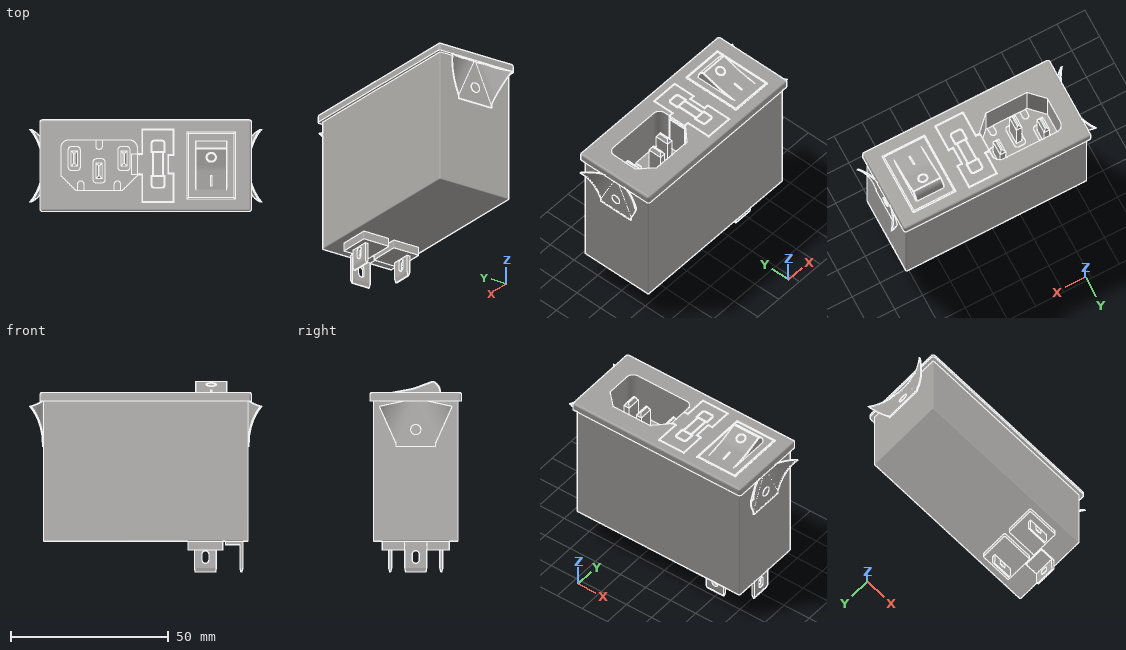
import cadquery as cq
import math


overall_length = 73.65
top_height = 3.5
bottom_depth = 57.0

flange_length = 67.2
flange_width = 29.2
flange_thickness = 2.7
flange_corner_radius = 0.9
flange_top_radius = 0.8
body_length = 64.9
body_width = 26.9
body_bottom = -47.3
body_radius = 0.4

socket_length = 24.3
socket_width = 16.05
socket_x = -14.8
socket_y = 0.15
socket_depth = 16.2
socket_right = socket_x + socket_length / 2
socket_radius = 2.5
socket_chamfer = 4.8
pad_length, pad_width, pad_radius, pad_depth = 3.8, 7.65, 1.0, 0.4
pin_length, pin_width = 2.0, 4.85
pin_tip_height, pin_tip_inset = 1.4, 0.7
pin_spacing = 7.9
line_pin_y, line_pin_top = 2.3, -4.85
earth_pin_y, earth_pin_top = -1.6, -1.8
key_width, key_length, key_depth = 2.05, 3.0, 0.4
lower_key_spacing = 5.8

drawer_left, drawer_right = -1.1, 8.8
drawer_half_width = 11.5
neck_bottom, neck_top = -2.7, 3.7
notch_x, notch_bottom, notch_top = 7.15, -2.5, 3.45
neck_overrun = 0.7
drawer_gap = 0.3
drawer_gap_depth = 11.05
latch_reach = 1.85
latch_height = 1.5
finger_slot_top = -0.95
finger_slot_height = 0.7
finger_slot_depth = 0.7

engraving_depth = 0.2
stroke = 0.3
fuse_x = 3.9
cap_width, cap_corner = 4.35, 0.95
upper_cap_bottom, upper_cap_top = 4.2, 8.1
lower_cap_bottom, lower_cap_top = -7.15, -3.1
tube_width = 3.4

rocker_x = 20.8
bezel_length, bezel_width, bezel_y = 15.25, 21.15, 0.1
bezel_bevel, bezel_depth = 0.45, 0.9
rocker_length = 10.1
rocker_back, rocker_front, rocker_root = 7.9, -7.65, 0.7
crest_y, crest_width = 5.4, 0.2
crease_y, crease_radius = -0.95, 10.3
raised_angle = math.radians(20)
crease_z = top_height - (crest_y - crease_y) * math.tan(raised_angle)
pressed_angle = math.atan(crease_z / (crease_y - rocker_front))
back_bulge_y, back_bulge_z = 7.2, 2.1
marking_depth = 0.1
rocker_edge = 0.2
ring_y, ring_radius = 2.65, 1.6
bar_y, bar_length, bar_width = -4.8, 3.25, 0.45

clip_thickness = 0.4
clip_half_width = 6.3
clip_bottom, clip_bend_bottom = -17.15, -16.05
clip_apex_z = -1.9
wing_overrun = 1.5
clip_tip_y, clip_tip_z = 11.6, -4.4
rivet_z, rivet_diameter, rivet_recess = -11.8, 3.25, 0.1

block_left, block_right = 13.3, 24.45
block_bottom = -50.0
block_inner, block_outer = 0.95, 10.7
block_edge = 0.4
blade_width, blade_thickness = 7.0, 1.0
blade_tip_length, blade_tip_thickness, blade_tip_inset = 1.25, 0.3, 0.2
line_blade_x, line_blade_y = 18.9, 8.1
slot_width, slot_length, slot_z = 2.1, 3.9, -52.2
foot_left, foot_right, foot_thickness = 25.3, 30.9, 1.1


def box(x_min, x_max, y_min, y_max, z_min, z_max):
    """Axis-aligned block between the given limits."""
    size = (x_max - x_min, y_max - y_min, z_max - z_min)
    return cq.Workplane("XY").box(*size, centered=False).translate((x_min, y_min, z_min))


def centered_box(length, width, x, y, z_min, z_max):
    """Block centred on x, y between two heights."""
    return box(x - length / 2, x + length / 2, y - width / 2, y + width / 2, z_min, z_max)


def tapered_tip(base_size, end_size, z, height):
    """Four-sided taper on the Z axis, starting at z and running up (or down if height is negative)."""
    base = cq.Workplane("XY", origin=(0, 0, z)).rect(*base_size)
    return base.workplane(offset=height).rect(*end_size).loft()


def housing():
    flange = centered_box(flange_length, flange_width, 0, 0, -flange_thickness, 0)
    flange = flange.edges("|Z").fillet(flange_corner_radius)
    flange = flange.faces(">Z").edges().fillet(flange_top_radius)
    body = centered_box(body_length, body_width, 0, 0, body_bottom, -flange_thickness)
    body = body.edges("|Z or <Z").fillet(body_radius)
    return flange.union(body)


def socket_cavity():
    cavity = centered_box(socket_length, socket_width, socket_x, socket_y, -socket_depth, 0)
    cavity = cavity.edges("|Z and >Y").fillet(socket_radius)
    return cavity.edges("|Z and <Y").chamfer(socket_chamfer)


def socket_key(x, wall_y, inward):
    """Round-ended key recess in the socket floor, reaching in from a side wall."""
    end_y = wall_y + inward * (key_length - key_width / 2)
    floor = -socket_depth - key_depth
    straight = box(x - key_width / 2, x + key_width / 2, min(wall_y, end_y), max(wall_y, end_y),
                   floor, -socket_depth)
    round_end = cq.Workplane("XY", origin=(x, end_y, floor)).circle(key_width / 2).extrude(key_depth)
    return straight.union(round_end)


def pin(x, y, top):
    shoulder = top - pin_tip_height
    blade = centered_box(pin_length, pin_width, x, y, -socket_depth - pad_depth, shoulder)
    tip_size = (pin_length - 2 * pin_tip_inset, pin_width - 2 * pin_tip_inset)
    tip = tapered_tip((pin_length, pin_width), tip_size, shoulder, pin_tip_height)
    return blade.union(tip.translate((x, y, 0)))


def cut_socket(part):
    part = part.cut(socket_cavity())
    pins = [
        (socket_x - pin_spacing, line_pin_y, line_pin_top),
        (socket_x + pin_spacing, line_pin_y, line_pin_top),
        (socket_x, earth_pin_y, earth_pin_top),
    ]
    for x, y, top in pins:
        pad = centered_box(pad_length, pad_width, x, y, -socket_depth - pad_depth, -socket_depth)
        part = part.cut(pad.edges("|Z").fillet(pad_radius)).union(pin(x, y, top))
    part = part.cut(socket_key(socket_x, socket_y + socket_width / 2, -1))
    for side in (-1, 1):
        part = part.cut(socket_key(socket_x + side * lower_key_spacing, socket_y - socket_width / 2, 1))
    return part


def drawer_outline(margin):
    """Drawer block, grown by a margin, whose neck runs out past the socket wall."""
    neck_end = socket_right - neck_overrun
    points = [
        (drawer_left, -drawer_half_width), (drawer_right, -drawer_half_width),
        (drawer_right, notch_bottom), (notch_x, notch_bottom),
        (notch_x, notch_top), (drawer_right, notch_top),
        (drawer_right, drawer_half_width), (drawer_left, drawer_half_width),
        (drawer_left, neck_top), (neck_end, neck_top),
        (neck_end, neck_bottom), (drawer_left, neck_bottom),
    ]
    outline = cq.Workplane("XY").polyline(points).close()
    return outline.offset2D(margin, "intersection").extrude(-drawer_gap_depth)


def cut_drawer(part):
    gap = drawer_outline(drawer_gap / 2).cut(drawer_outline(-drawer_gap / 2))
    finger_slot = box(socket_right, socket_right + finger_slot_depth, neck_bottom, neck_top,
                      finger_slot_top - finger_slot_height, finger_slot_top)
    latch = box(socket_right - latch_reach, socket_right, neck_bottom, neck_top,
                -socket_depth, latch_height - socket_depth)
    return part.cut(gap).cut(finger_slot).union(latch)


def engraved_frame(width, y_min, y_max, rounded_edges=None):
    """Engraved rectangular outline centred on the fuse axis, with optional rounded corners."""
    outer = centered_box(width, y_max - y_min, fuse_x, (y_min + y_max) / 2, -engraving_depth, 0)
    inner = centered_box(width - 2 * stroke, y_max - y_min - 2 * stroke, fuse_x, (y_min + y_max) / 2,
                         -engraving_depth, 0)
    if rounded_edges:
        outer = outer.edges("|Z").edges(rounded_edges).fillet(cap_corner)
        inner = inner.edges("|Z").edges(rounded_edges).fillet(cap_corner - stroke)
    return outer.cut(inner)


def engrave_fuse(part):
    part = part.cut(engraved_frame(cap_width, upper_cap_bottom, upper_cap_top, ">Y"))
    part = part.cut(engraved_frame(cap_width, lower_cap_bottom, lower_cap_top, "<Y"))
    return part.cut(engraved_frame(tube_width, lower_cap_top - stroke, upper_cap_bottom + stroke))


def cut_bezel(part):
    """V-shaped recess around the switch: upright outer wall, bevelled bezel edge inside."""
    pocket = centered_box(bezel_length, bezel_width, rocker_x, bezel_y, -bezel_bevel, 0)
    bezel = centered_box(bezel_length, bezel_width, rocker_x, bezel_y, -bezel_depth, 0)
    return part.cut(pocket).union(bezel.faces(">Z").chamfer(bezel_bevel))


def rocker_top(y):
    """Height of the flat rocker faces: the steep raised half or the shallow pressed half."""
    angle = raised_angle if y > crease_y else pressed_angle
    return crease_z + (y - crease_y) * math.tan(angle)


def engraving_plane(y, angle):
    """Plane just under a rocker face, tilted with it, at the given y."""
    normal = cq.Vector(0, -math.sin(angle), math.cos(angle))
    origin = cq.Vector(rocker_x, y, rocker_top(y)) - normal * marking_depth
    return cq.Plane(origin=origin, xDir=(1, 0, 0), normal=normal)


def rocker():
    profile = (
        cq.Workplane("YZ", origin=(rocker_x - rocker_length / 2, 0, 0))
        .moveTo(rocker_front, -rocker_root)
        .lineTo(rocker_front, 0)
        .lineTo(crease_y, crease_z)
        .lineTo(crest_y, top_height)
        .lineTo(crest_y + crest_width, top_height)
        .threePointArc((back_bulge_y, back_bulge_z), (rocker_back, 0))
        .lineTo(rocker_back, -rocker_root)
        .close()
    )
    crease = cq.selectors.NearestToPointSelector((rocker_x, crease_y, crease_z))
    paddle = profile.extrude(rocker_length).edges(crease).fillet(crease_radius)
    paddle = paddle.faces("<X or >X").edges().chamfer(rocker_edge)
    ring = cq.Workplane(engraving_plane(ring_y, raised_angle)).circle(ring_radius)
    ring = ring.circle(ring_radius - stroke).extrude(2 * marking_depth)
    bar = cq.Workplane(engraving_plane(bar_y, pressed_angle)).rect(bar_width, bar_length)
    bar = bar.extrude(2 * marking_depth)
    return paddle.cut(ring).cut(bar)


def clip_wing():
    """Wing at +Y of the left clip: a sheet bent outward about the sloping edge of the flat plate."""
    bend_y = -clip_half_width
    bend_z = clip_apex_z - clip_bend_bottom
    bend_length = math.hypot(bend_y, bend_z)
    along = cq.Vector(0, bend_y / bend_length, bend_z / bend_length)
    across = cq.Vector(0, along.z, -along.y)
    tip_from_bend = cq.Vector(0, clip_tip_y - clip_half_width, clip_tip_z - clip_bend_bottom)
    reach = tip_from_bend.dot(across)
    rise = overall_length / 2 - body_length / 2 - clip_thickness
    radius = (reach ** 2 + rise ** 2) / (2 * rise)
    bend_sweep = math.asin((reach + wing_overrun) / radius)

    def on_arc(arc_radius, angle):
        return arc_radius * math.sin(angle), radius - arc_radius * math.cos(angle)

    back_radius = radius + clip_thickness
    plate_face = cq.Vector(-body_length / 2 - clip_thickness, clip_half_width, clip_bend_bottom)
    sheet_plane = cq.Plane(origin=plate_face, xDir=across, normal=across.cross(cq.Vector(-1, 0, 0)))
    sheet = (
        cq.Workplane(sheet_plane)
        .moveTo(*on_arc(radius, 0))
        .threePointArc(on_arc(radius, bend_sweep / 2), on_arc(radius, bend_sweep))
        .lineTo(*on_arc(back_radius, bend_sweep))
        .threePointArc(on_arc(back_radius, bend_sweep / 2), on_arc(back_radius, 0))
        .close()
        .extrude(2 * bend_length, both=True)
    )
    trim = (
        cq.Workplane("YZ", origin=(-overall_length, 0, 0))
        .moveTo(clip_half_width, clip_bend_bottom)
        .lineTo(clip_tip_y, clip_tip_z)
        .lineTo(0, clip_apex_z)
        .close()
        .extrude(overall_length)
    )
    return sheet.intersect(trim)


def left_clip():
    plate = (
        cq.Workplane("YZ", origin=(-body_length / 2 - clip_thickness, 0, 0))
        .moveTo(-clip_half_width, clip_bottom)
        .lineTo(clip_half_width, clip_bottom)
        .lineTo(clip_half_width, clip_bend_bottom)
        .lineTo(0, clip_apex_z)
        .lineTo(-clip_half_width, clip_bend_bottom)
        .close()
        .extrude(clip_thickness)
    )
    rivet = cq.Workplane("YZ", origin=(-body_length / 2 - clip_thickness, 0, rivet_z))
    rivet = rivet.circle(rivet_diameter / 2).extrude(rivet_recess)
    wing = clip_wing()
    return plate.cut(rivet).union(wing).union(wing.mirror("XZ"))


def terminal_blade(top):
    """Slotted blade standing in the XZ plane, centred on X = Y = 0, with a tapered tip."""
    tip_top = blade_tip_length - bottom_depth
    blade = centered_box(blade_width, blade_thickness, 0, 0, tip_top, top)
    tip_size = (blade_width - 2 * blade_tip_inset, blade_tip_thickness)
    tip = tapered_tip((blade_width, blade_thickness), tip_size, tip_top, -blade_tip_length)
    slot = (
        cq.Workplane("XZ", origin=(0, 0, slot_z))
        .slot2D(slot_length, slot_width, 90)
        .extrude(blade_thickness, both=True)
    )
    return blade.union(tip).cut(slot)


def line_terminal(side):
    """Insulating block under the body with a blade parallel to X."""
    inner, outer = sorted((side * block_inner, side * block_outer))
    block = box(block_left, block_right, inner, outer, block_bottom, body_bottom)
    block = block.edges("|Z").fillet(block_edge)
    return block.union(terminal_blade(block_bottom).translate((line_blade_x, side * line_blade_y, 0)))


def earth_terminal():
    """Angle bracket under the body: a flat foot and a blade parallel to Y at its outer end."""
    foot = box(foot_left, foot_right, -blade_width / 2, blade_width / 2,
               body_bottom - foot_thickness, body_bottom)
    blade = terminal_blade(body_bottom).rotate((0, 0, 0), (0, 0, 1), 90)
    return foot.union(blade.translate((foot_right - blade_thickness / 2, 0, 0)))


result = cut_socket(housing())
result = cut_drawer(result)
result = engrave_fuse(result)
result = cut_bezel(result)
result = result.union(rocker())
result = result.union(left_clip()).union(left_clip().mirror("YZ"))
for terminal_side in (-1, 1):
    result = result.union(line_terminal(terminal_side))
result = result.union(earth_terminal())